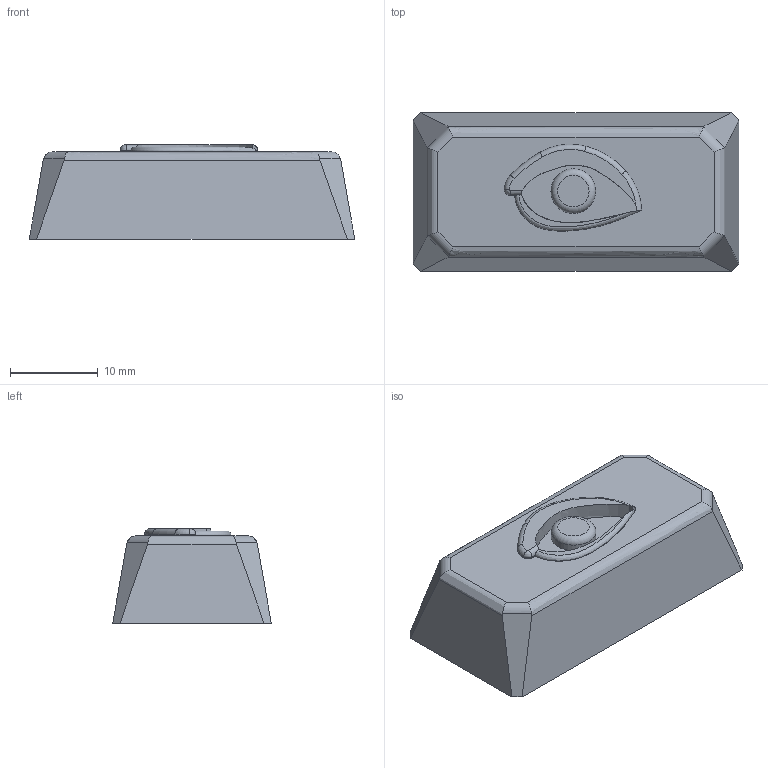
import cadquery as cq
import math

LENGTH = 37.15
WIDTH = 18.1
BODY_HEIGHT = 10.0
WALL_DRAFT_DEG = 10.0
BASE_CORNER_CUT = 0.83
TOP_CORNER_CUT = 2.57
TOP_EDGE_RADIUS = 1.25

UPPER_LID_TOP = 10.76
UPPER_LID_EDGE_RADIUS = 0.6
LOWER_LID_TOP = 10.5
LOWER_LID_EDGE_RADIUS = 0.48
SOCKET_FLOOR = 9.0
LID_ROOT = SOCKET_FLOOR

PUPIL_CENTER = (-0.31, 0.08)
PUPIL_DIAMETER = 5.1
PUPIL_HEIGHT = 1.5
PUPIL_EDGE_RADIUS = 0.75

LID_LEFT = -8.19
LID_CORNER_RADIUS = 0.68
LEDGE_Y = -0.41
LEDGE_END_X = -5.6
LEDGE_RISE_Y = 0.4
LID_TIP = (7.5, -2.16)
BROW_JOINTS = [(-7.49, 1.95), (-4.13, 4.51), (1.14, 5.20), (5.67, 2.41), LID_TIP]

LOWER_START = (-6.93, 0.3)
LOWER_POINTS = [(-6.82, -1.39), (-4.81, -3.79), (-1.15, -4.48), (2.75, -3.91)]
LOWER_END = (7.33, LID_TIP[1])

OPENING_LEFT = (-6.3, -0.24)
OPENING_UPPER_POINTS = [(-4.93, 1.51), (-2.86, 2.51), (-0.3, 3.06), (1.6, 2.76), (3.67, 1.59), (5.45, 0.2)]
OPENING_UPPER_END = (6.93, -1.67)
OPENING_TIP = (OPENING_UPPER_END[0], LID_TIP[1])
OPENING_LOWER_POINTS = [(3.32, -2.99), (-1.15, -3.52), (-4.24, -2.70)]


def clipped_rectangle(length, width, corner_cut, z):
    """Wire of a rectangle with its four corners cut at 45 degrees."""
    x, y = length / 2, width / 2
    points = [
        (x, y - corner_cut),
        (x - corner_cut, y),
        (-x + corner_cut, y),
        (-x, y - corner_cut),
        (-x, -y + corner_cut),
        (-x + corner_cut, -y),
        (x - corner_cut, -y),
        (x, -y + corner_cut),
    ]
    return cq.Wire.makePolygon([cq.Vector(px, py, z) for px, py in points], close=True)


def make_body():
    inset = BODY_HEIGHT * math.tan(math.radians(WALL_DRAFT_DEG))
    base = clipped_rectangle(LENGTH, WIDTH, BASE_CORNER_CUT, 0)
    top = clipped_rectangle(LENGTH - 2 * inset, WIDTH - 2 * inset, TOP_CORNER_CUT, BODY_HEIGHT)
    block = cq.Workplane(obj=cq.Solid.makeLoft([base, top], True))
    return block.faces(">Z").edges().fillet(TOP_EDGE_RADIUS)


def make_upper_lid():
    """Plate under the brow curve, rounded along the brow, the left corner and the ledge."""
    corner_start = (LID_LEFT + LID_CORNER_RADIUS, LEDGE_Y)
    corner_end = (LID_LEFT, LEDGE_Y + LID_CORNER_RADIUS)
    outline = (
        cq.Workplane("XY", origin=(0, 0, LID_ROOT))
        .moveTo(LEDGE_END_X, LEDGE_Y)
        .lineTo(*corner_start)
        .tangentArcPoint(corner_end, relative=False)
    )
    for joint in BROW_JOINTS:
        outline = outline.tangentArcPoint(joint, relative=False)
    outline = outline.lineTo(*OPENING_TIP).lineTo(LEDGE_END_X, LEDGE_RISE_Y)
    plate = outline.close().extrude(UPPER_LID_TOP - LID_ROOT)
    return plate.faces(">Z").edges("%CIRCLE").fillet(UPPER_LID_EDGE_RADIUS)


def make_lower_lid():
    """Plate above the lower lid curve, rounded along that curve."""
    plate = (
        cq.Workplane("XY", origin=(0, 0, LID_ROOT))
        .moveTo(*LOWER_START)
        .spline([*LOWER_POINTS, LOWER_END], includeCurrent=True)
        .close()
        .extrude(LOWER_LID_TOP - LID_ROOT)
    )
    return plate.faces(">Z").edges("%BSPLINE").fillet(LOWER_LID_EDGE_RADIUS)


def make_opening():
    """Eye-shaped cutter from the socket floor up through both lids."""
    return (
        cq.Workplane("XY", origin=(0, 0, SOCKET_FLOOR))
        .moveTo(*OPENING_LEFT)
        .spline([*OPENING_UPPER_POINTS, OPENING_UPPER_END], includeCurrent=True)
        .lineTo(*OPENING_TIP)
        .spline([*OPENING_LOWER_POINTS, OPENING_LEFT], includeCurrent=True)
        .close()
        .extrude(UPPER_LID_TOP - SOCKET_FLOOR)
    )


def make_pupil():
    return (
        cq.Workplane("XY", origin=(*PUPIL_CENTER, SOCKET_FLOOR))
        .circle(PUPIL_DIAMETER / 2)
        .extrude(PUPIL_HEIGHT)
        .faces(">Z")
        .edges()
        .fillet(PUPIL_EDGE_RADIUS)
    )


result = (
    make_body()
    .union(make_upper_lid())
    .union(make_lower_lid())
    .cut(make_opening())
    .union(make_pupil())
)